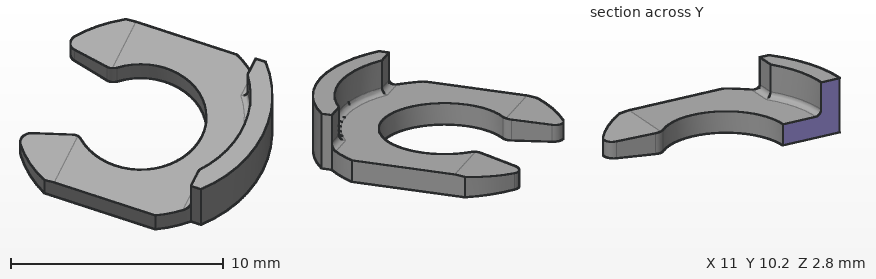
import cadquery as cq
import math

bore_radius = 3.1
plate_radius = 5.83
plate_width = 10.2
plate_thickness = 1.1
wall_outer_radius = 6.2
wall_inner_radius = 5.18
wall_height = 2.8
wall_face_x = 4.2
wall_foot_radius = 0.3
wall_width = 2 * math.sqrt(plate_radius**2 - wall_face_x**2)

mouth_angle = 15.0
mouth_reference_x = -2.56
mouth_reference_half = 2.14
tip_radius = 0.51
throat_radius = 0.5
ramp_start_x = -2.31
ramp_angle = 6.2


def mouth_half_width(x):
    """Half the opening between the prongs at a given x."""
    return mouth_reference_half + (mouth_reference_x - x) * math.tan(math.radians(mouth_angle))


def make_plate():
    """Disc trimmed by two parallel flats, with a bore and a flared mouth."""
    disc = cq.Workplane("XY").circle(plate_radius).extrude(plate_thickness)
    flats = cq.Workplane("XY").rect(2 * plate_radius, plate_width).extrude(plate_thickness)
    bore = cq.Workplane("XY").circle(bore_radius).extrude(plate_thickness)
    outer_half = mouth_half_width(-plate_radius)
    inner_half = mouth_half_width(0)
    mouth = (
        cq.Workplane("XY")
        .moveTo(-plate_radius, -outer_half)
        .lineTo(0, -inner_half)
        .lineTo(0, inner_half)
        .lineTo(-plate_radius, outer_half)
        .close()
        .extrude(plate_thickness)
    )
    return disc.intersect(flats).cut(bore).cut(mouth)


def round_prongs(plate):
    """Round the prong tips and the corners where the mouth meets the bore."""
    tip_edges = cq.selectors.BoxSelector(
        (-plate_radius, -plate_width / 2, 0),
        (-plate_radius * 0.75, plate_width / 2, plate_thickness),
    )
    throat_edges = cq.selectors.BoxSelector(
        (-bore_radius, -bore_radius, 0),
        (-bore_radius / 2, bore_radius, plate_thickness),
    )
    plate = plate.edges("|Z").edges(tip_edges).fillet(tip_radius)
    return plate.edges("|Z").edges(throat_edges).fillet(throat_radius)


def make_ramp_cutter():
    """Wedge that slopes the prong tops down towards their tips."""
    run = plate_radius + ramp_start_x
    drop = run * math.tan(math.radians(ramp_angle))
    return (
        cq.Workplane("XZ")
        .moveTo(ramp_start_x, plate_thickness)
        .lineTo(-plate_radius, plate_thickness)
        .lineTo(-plate_radius, plate_thickness - drop)
        .close()
        .extrude(plate_width / 2, both=True)
    )


def stepped_profile(start):
    """Side profile rising at `start`, with the concave foot fillet leading up to it."""
    corner_offset = wall_foot_radius * (1 - math.sqrt(0.5))
    fillet_top = plate_thickness + wall_foot_radius
    return (
        cq.Workplane("XZ")
        .moveTo(start - wall_foot_radius, 0)
        .lineTo(start - wall_foot_radius, plate_thickness)
        .threePointArc((start - corner_offset, plate_thickness + corner_offset), (start, fillet_top))
        .lineTo(start, wall_height)
        .lineTo(wall_outer_radius, wall_height)
        .lineTo(wall_outer_radius, 0)
        .close()
    )


def make_wall():
    """Curved wall with flat end faces and a fillet along its foot, mitred at the corners."""
    straight = stepped_profile(wall_face_x).extrude(wall_outer_radius, both=True)
    curved = stepped_profile(wall_inner_radius).revolve(360, (0, 0, 0), (0, 1, 0))
    body = straight.intersect(curved)
    wall_limits = (
        cq.Workplane("XY")
        .center(wall_face_x + wall_outer_radius / 2, 0)
        .rect(wall_outer_radius, wall_width)
        .extrude(wall_height)
    )
    foot_limits = cq.Workplane("XY").circle(plate_radius).extrude(plate_thickness + wall_foot_radius)
    return body.intersect(wall_limits).union(body.intersect(foot_limits))


result = round_prongs(make_plate()).cut(make_ramp_cutter()).union(make_wall())